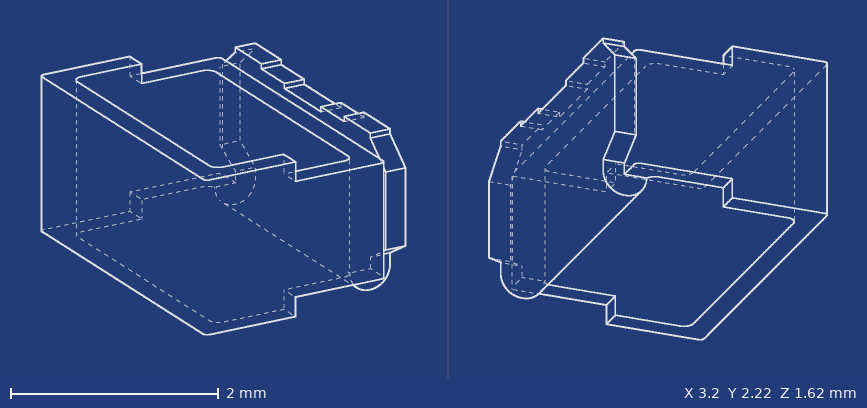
import cadquery as cq

length = 3.2
frame_depth = 2.0
height = 1.6
wall = 0.23
outer_radius = 0.048
inner_radius = 0.1
notch_height = 0.2
notch_depth = frame_depth / 2

plate_thickness = 0.22
bead_height = 0.22
bead_edge = 0.0003
bevel_width = 0.298
lower_bevel_start = 0.32
lower_bevel_end = 0.493
upper_bevel_start = 1.3
step_height = 0.05
outer_step_half = 0.797
inner_step_half = 0.352

half_length = length / 2
narrow_half = half_length - bevel_width
rear_y = frame_depth


def make_box(x_size, y_min, y_max, z_min, z_max):
    """Box centred on X."""
    return cq.Workplane("XY").box(
        x_size, y_max - y_min, z_max - z_min, centered=(True, False, False)
    ).translate((0, y_min, z_min))


def make_frame():
    """Open rectangular frame, lower in its rear half."""
    outside = make_box(length, 0, rear_y, 0, height).edges("|Z").fillet(outer_radius)
    opening = make_box(length - 2 * wall, wall, rear_y - wall, 0, height)
    frame = outside.cut(opening.edges("|Z").fillet(inner_radius))
    notch_start = rear_y - notch_depth
    lower_notch = make_box(length, notch_start, rear_y, 0, notch_height)
    upper_notch = make_box(length, notch_start, rear_y, height - notch_height, height)
    return frame.cut(lower_notch).cut(upper_notch)


def make_plate():
    """Symmetric plate with bevelled corners and a top edge stepping down to the middle."""
    first_step = height - step_height
    second_step = first_step - step_height
    right_side = [
        (narrow_half, notch_height),
        (narrow_half, lower_bevel_start),
        (half_length, lower_bevel_end),
        (half_length, upper_bevel_start),
        (narrow_half, first_step),
        (narrow_half, height),
        (outer_step_half, height),
        (outer_step_half, first_step),
        (inner_step_half, first_step),
        (inner_step_half, second_step),
    ]
    left_side = [(-x, z) for x, z in reversed(right_side)]
    outline = cq.Workplane("XZ", origin=(0, rear_y, 0)).polyline(right_side + left_side)
    return outline.close().extrude(-plate_thickness)


def make_bead():
    """Rounded bar spanning the plate and the underside of the frame's rear wall."""
    bead_width = plate_thickness + wall
    bead = make_box(
        2 * narrow_half, rear_y - wall, rear_y - wall + bead_width, notch_height - bead_height, notch_height
    )
    return bead.faces("<Z").edges("|X").fillet(bead_height - bead_edge)


total_depth = frame_depth + plate_thickness
result = make_frame().union(make_plate()).union(make_bead()).translate((0, -total_depth / 2, 0))